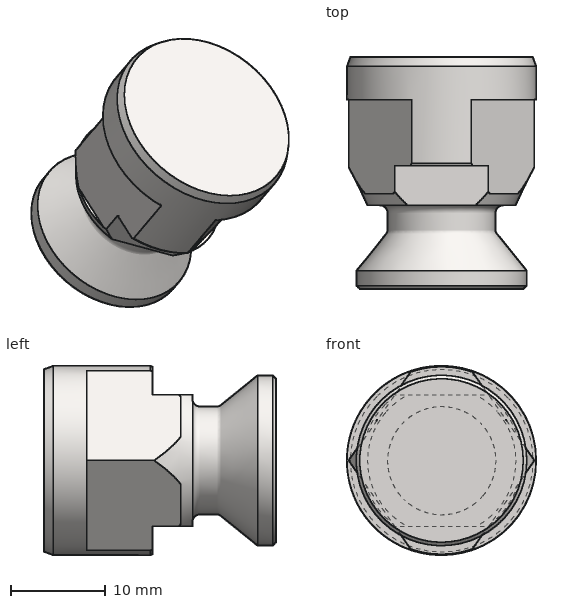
import cadquery as cq
import math

length = 24.5
knob_chamfer = 0.37
rim_end = 1.95
neck_start = 6.03
shoulder = 8.82
wrench_start = 10.05
step_end = 13.03
cone_end = 13.25
wrench_end = 20.0
back_chamfer_length = 1.0

body_radius = 10.0
back_radius = 9.63
shoulder_radius = 7.82
neck_radius = 5.7
knob_radius = 9.0

shoulder_fillet = 0.78
neck_fillet = 0.5

corner_x = 9.8
flat_angle = 55.0
step_half_height = 6.95
tool_size = 2 * body_radius


def turned_body():
    """Knob, neck and body as one revolved profile."""
    profile = [
        (0, 0),
        (knob_radius - knob_chamfer, 0),
        (knob_radius, knob_chamfer),
        (knob_radius, rim_end),
        (neck_radius, neck_start),
        (neck_radius, shoulder),
        (shoulder_radius, shoulder),
        (body_radius, cone_end),
        (body_radius, length - back_chamfer_length),
        (back_radius, length),
        (0, length),
    ]
    body = cq.Workplane("XY").polyline(profile).close().revolve(360, (0, 0, 0), (0, 1, 0))

    def circle_at(y, radius):
        margin = 0.02
        corner_a = (-radius - margin, y - margin, -radius - margin)
        corner_b = (radius + margin, y + margin, radius + margin)
        return cq.selectors.BoxSelector(corner_a, corner_b, boundingbox=True)

    body = body.edges(circle_at(shoulder, neck_radius)).fillet(shoulder_fillet)
    return body.edges(circle_at(neck_start, neck_radius)).fillet(neck_fillet)


def wrench_cutter(side_x, side_z):
    """Block whose inner face is one wrench flat."""
    slope = math.radians(flat_angle)
    along = (-side_x * math.cos(slope), side_z * math.sin(slope))
    outward = (side_x * math.sin(slope), side_z * math.cos(slope))
    ends = [(side_x * corner_x + reach * along[0], reach * along[1]) for reach in (-tool_size, tool_size)]
    outer = [(x + tool_size * outward[0], z + tool_size * outward[1]) for x, z in reversed(ends)]
    section = cq.Workplane("XZ", origin=(0, wrench_start, 0)).polyline(ends + outer).close()
    return section.extrude(wrench_start - wrench_end)


def step_cutter(side_z):
    """Block that flattens the front of the body above or below."""
    center = (0, (shoulder + step_end) / 2, side_z * (step_half_height + tool_size / 2))
    return cq.Workplane("XY").box(tool_size, step_end - shoulder, tool_size).translate(center)


result = turned_body()
for side_z in (-1, 1):
    result = result.cut(step_cutter(side_z))
    for side_x in (-1, 1):
        result = result.cut(wrench_cutter(side_x, side_z))

result = result.translate((0, -length / 2, 0))